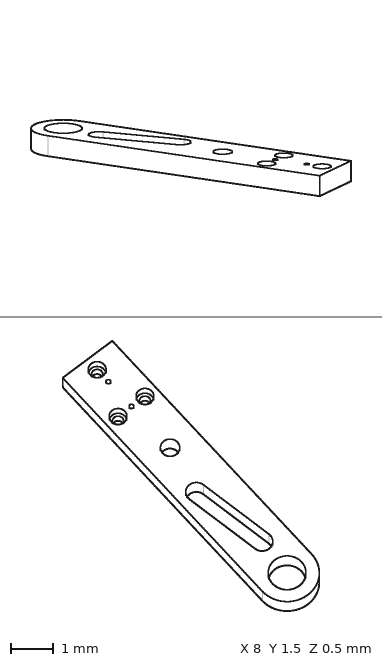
import cadquery as cq

length = 8.0
width = 1.5
thickness = 0.5
end_radius = width / 2
square_end_x = length - end_radius

pivot_diameter = 0.88
middle_hole_diameter = 0.45
middle_hole_x = 4.25
pin_diameter = 0.11

slot_width = 0.5
slot_center_spacing = 2.0
slot_angle = 10.0
slot_x = 1.98
slot_y = 0.1

screw_diameter = 0.26
counterbore_diameter = 0.42
counterbore_depth = thickness / 2
screw_pair_x = 5.65
screw_pair_spacing = 0.82
end_screw_x = 6.9
end_pin_x = 6.49


def through_holes(body, points, diameter):
    """Cut round holes through the full thickness."""
    cutters = cq.Workplane("XY").pushPoints(points).circle(diameter / 2).extrude(thickness)
    return body.cut(cutters)


def rounded_plate():
    """Flat bar with a semicircular end around the pivot."""
    return (
        cq.Workplane("XY")
        .moveTo(0, -end_radius)
        .lineTo(square_end_x, -end_radius)
        .lineTo(square_end_x, end_radius)
        .lineTo(0, end_radius)
        .threePointArc((-end_radius, 0), (0, -end_radius))
        .close()
        .extrude(thickness)
    )


def slanted_slot():
    """Cutter for the slot through the plate."""
    return (
        cq.Workplane("XY")
        .center(slot_x, slot_y)
        .slot2D(slot_center_spacing + slot_width, slot_width, slot_angle)
        .extrude(thickness)
    )


plate = rounded_plate().cut(slanted_slot())
plate = through_holes(plate, [(0, 0)], pivot_diameter)
plate = through_holes(plate, [(middle_hole_x, 0)], middle_hole_diameter)
plate = through_holes(plate, [(screw_pair_x, 0), (end_pin_x, 0)], pin_diameter)

screw_points = [
    (screw_pair_x, screw_pair_spacing / 2),
    (screw_pair_x, -screw_pair_spacing / 2),
    (end_screw_x, 0),
]
result = (
    plate.faces(">Z")
    .workplane(origin=(0, 0, thickness))
    .pushPoints(screw_points)
    .cboreHole(screw_diameter, counterbore_diameter, counterbore_depth)
)